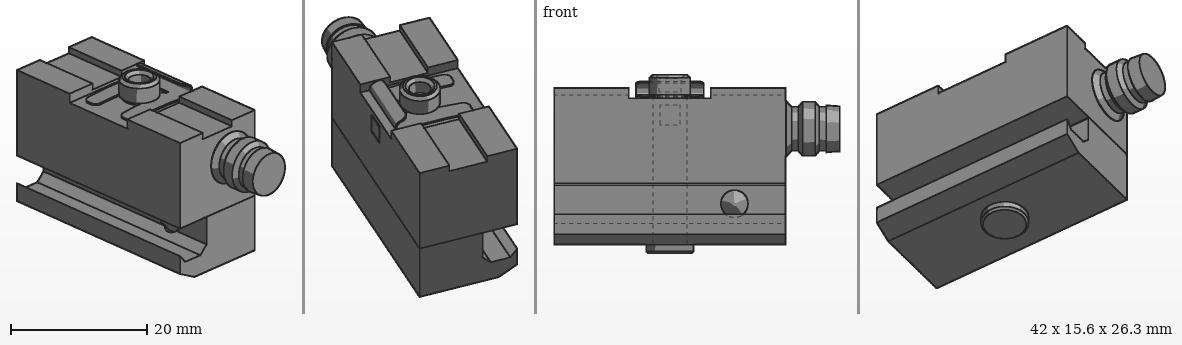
import cadquery as cq
import math

total_length = 42.0
length = 34.0
depth = 15.5
jaw_height = 9.0
housing_height = 14.03
housing_top = jaw_height + housing_height

slot_width = 12.0
slot_depth = 1.5
slot_floor = housing_top - slot_depth
groove_width = 6.0
groove_depth = 1.0
pad_size = 3.0
pad_thickness = 0.1
pad_z = 19.05

jaw_wall_y = 5.5
hook_floor_z = 3.15
hook_bevel = 1.3
lip_width = 1.1
lip_height = hook_floor_z + hook_bevel
nose_chamfer_y = 3.0
nose_chamfer_z = 1.5
wall_relief_y = 0.13
wall_relief_z = 0.25

screw_x = length / 2
screw_y = 8.5
shank_diameter = 5.0
head_diameter = 6.0
head_bottom = 22.05
head_top = 25.0
head_chamfer = 0.5
socket_diameter = 3.25
socket_mouth_diameter = 4.3
socket_depth = 2.5
foot_diameter = 7.0
foot_height = 1.3
foot_chamfer = 0.35

pin_x = 26.5
pin_z = 6.0
pin_diameter = 4.0
pin_recess = 0.1
pin_body_length = 4.0
cone_length = pin_diameter / 2

clip_width = 10.0
clip_thickness = 0.25
clip_front_y = 1.85
clip_head_gap = 0.05
clip_bow_top = head_bottom - clip_head_gap
curl_radius = 1.0
curl_inner_radius = curl_radius - clip_thickness
curl_center_y = 13.45
clip_bow_y = (clip_front_y + curl_center_y) / 2
curl_clearance = 0.05
curl_center_z = slot_floor + curl_clearance + curl_radius
curl_tip_angle = 21.0
curl_turn = 180.0 - curl_tip_angle
curl_tip_length = 1.43
curl_corner_radius = 1.0
arm_gap_front = 4.75
arm_gap_back = 4.3
arm_corner_radius = 0.95
window_back_y = 12.3
window_side_y = 11.85
window_width = 4.3
window_neck_y = 10.7
window_neck_width = 2.2

plug_y = 10.5
plug_z = 17.0
plug_length = total_length - length
plug_neck_radius = 6.5 / 2
plug_flange_radius = 8.2 / 2
plug_flange_length = 0.1
plug_neck_start = 0.9
plug_ring_radius = 8.0 / 2
plug_ring_start = 1.85
plug_ring_full = 2.5
plug_ring_fall = 4.33
plug_ring_end = 4.95
plug_tip_start = 6.0
plug_tip_radius = 6.97 / 2
plug_tip_end_radius = 6.68 / 2


def block(x, y, z, size_x, size_y, size_z):
    """Box given by its lowest corner and its sizes."""
    return cq.Workplane("XY").box(size_x, size_y, size_z, centered=False).translate((x, y, z))


def screw_cylinder(diameter, bottom, top):
    """Cylinder on the screw axis between two heights."""
    plane = cq.Workplane("XY", origin=(screw_x, screw_y, bottom))
    return plane.circle(diameter / 2).extrude(top - bottom)


def make_housing():
    housing = block(0, 0, jaw_height, length, depth, housing_height)
    slot = block(screw_x - slot_width / 2, 0, slot_floor, slot_width, depth, slot_depth)
    groove = block(
        0, (depth - groove_width) / 2, housing_top - groove_depth,
        length, groove_width, groove_depth,
    )
    pad = block(
        (length - pad_size) / 2, depth, pad_z - pad_size / 2,
        pad_size, pad_thickness, pad_size,
    )
    shank_hole = screw_cylinder(shank_diameter, jaw_height, housing_top)
    return housing.cut(slot).cut(groove).cut(shank_hole).union(pad)


def make_jaw():
    profile = [
        (nose_chamfer_y, 0),
        (depth, 0),
        (depth, jaw_height),
        (jaw_wall_y + wall_relief_y, jaw_height),
        (jaw_wall_y, jaw_height - wall_relief_z),
        (jaw_wall_y, lip_height),
        (jaw_wall_y - hook_bevel, hook_floor_z),
        (lip_width, hook_floor_z),
        (0, lip_height),
        (0, nose_chamfer_z),
    ]
    jaw = cq.Workplane("YZ").polyline(profile).close().extrude(length)
    shank_hole = screw_cylinder(shank_diameter, 0, jaw_height)
    pin_hole_start = jaw_wall_y - hook_bevel
    pin_hole_end = jaw_wall_y + pin_recess + pin_body_length
    pin_hole = (
        cq.Workplane("XZ", origin=(pin_x, pin_hole_end, pin_z))
        .circle(pin_diameter / 2)
        .extrude(pin_hole_end - pin_hole_start)
    )
    return jaw.cut(shank_hole).cut(pin_hole)


def make_screw():
    shank = screw_cylinder(shank_diameter, 0, head_bottom)
    head = screw_cylinder(head_diameter, head_bottom, head_top).faces(">Z").chamfer(head_chamfer)
    foot = screw_cylinder(foot_diameter, -foot_height, 0).faces("<Z").chamfer(foot_chamfer)
    socket_chamfer = (socket_mouth_diameter - socket_diameter) / 2
    socket = screw_cylinder(socket_diameter, head_top - socket_depth, head_top)
    screw = shank.union(head).union(foot).cut(socket)
    socket_rim = cq.selectors.RadiusNthSelector(0)
    return screw.faces(">Z").edges(socket_rim).chamfer(socket_chamfer)


def make_pin():
    base_y = jaw_wall_y + pin_recess
    outline = [
        (0, base_y - cone_length),
        (pin_diameter / 2, base_y),
        (pin_diameter / 2, base_y + pin_body_length),
        (0, base_y + pin_body_length),
    ]
    pin = cq.Workplane("XY").polyline(outline).close().revolve(360, (0, 0, 0), (0, 1, 0))
    return pin.translate((pin_x, 0, pin_z))


def curl_point(radius, angle):
    """Point (y, z) on the curl; the angle is counted from straight down, turning to the back."""
    a = math.radians(angle)
    return (curl_center_y + radius * math.sin(a), curl_center_z - radius * math.cos(a))


def curl_tip_point(radius):
    """Point (y, z) at the end of the straight tip that leaves the curl at this radius."""
    slope = math.radians(curl_tip_angle)
    start_y, start_z = curl_point(radius, curl_turn)
    return (start_y - curl_tip_length * math.cos(slope), start_z + curl_tip_length * math.sin(slope))


def make_clip_sheet():
    """Bent sheet: bowed base, curl at the back and a straight rising tip."""
    return (
        cq.Workplane("YZ", origin=(screw_x - clip_width / 2, 0, 0))
        .moveTo(clip_front_y, slot_floor)
        .threePointArc((clip_bow_y, clip_bow_top - clip_thickness), curl_point(curl_radius, 0))
        .threePointArc(curl_point(curl_radius, curl_turn / 2), curl_point(curl_radius, curl_turn))
        .lineTo(*curl_tip_point(curl_radius))
        .lineTo(*curl_tip_point(curl_inner_radius))
        .lineTo(*curl_point(curl_inner_radius, curl_turn))
        .threePointArc(curl_point(curl_inner_radius, curl_turn / 2), curl_point(curl_inner_radius, 0))
        .threePointArc((clip_bow_y, clip_bow_top), (clip_front_y, slot_floor + clip_thickness))
        .close()
        .extrude(clip_width)
    )


def make_clip_opening():
    """Fork gap, screw hole and rear window, as one set of cutters through the base of the clip."""
    cut_height = head_bottom - slot_floor
    base = cq.Workplane("XY", origin=(screw_x, 0, slot_floor))
    fork_gap = base.polyline([
        (-arm_gap_front / 2, clip_front_y),
        (arm_gap_front / 2, clip_front_y),
        (arm_gap_back / 2, screw_y),
        (-arm_gap_back / 2, screw_y),
    ]).close().extrude(cut_height)
    window = base.polyline([
        (-window_neck_width / 2, window_neck_y),
        (window_neck_width / 2, window_neck_y),
        (window_width / 2, window_side_y),
        (window_width / 2, window_back_y),
        (-window_width / 2, window_back_y),
        (-window_width / 2, window_side_y),
    ]).close().extrude(cut_height)
    screw_hole = screw_cylinder(shank_diameter, slot_floor, head_bottom)
    return fork_gap.union(window).union(screw_hole)


def edges_near(y, z):
    """Selector for the edges whose centres lie close to a point (y, z), over the whole length."""
    reach = 2 * clip_thickness
    return cq.selectors.BoxSelector((0, y - reach, z - reach), (length, y + reach, z + reach))


def make_clip():
    clip = make_clip_sheet().cut(make_clip_opening())
    slope = math.radians(curl_tip_angle)
    tip_normal = cq.Vector(0, math.sin(slope), math.cos(slope))
    across_tip = cq.selectors.ParallelDirSelector(tip_normal)
    arm_ends = edges_near(clip_front_y, slot_floor)
    curl_tip = edges_near(*curl_tip_point(curl_radius))
    clip = clip.edges("|Z").edges(arm_ends).fillet(arm_corner_radius)
    return clip.edges(across_tip).edges(curl_tip).fillet(curl_corner_radius)


def make_plug():
    outline = [
        (0, 0),
        (0, plug_flange_radius),
        (plug_flange_length, plug_flange_radius),
        (plug_neck_start, plug_neck_radius),
        (plug_ring_start, plug_neck_radius),
        (plug_ring_full, plug_ring_radius),
        (plug_ring_fall, plug_ring_radius),
        (plug_ring_end, plug_neck_radius),
        (plug_tip_start, plug_neck_radius),
        (plug_tip_start, plug_tip_radius),
        (plug_length, plug_tip_end_radius),
        (plug_length, 0),
    ]
    plug = cq.Workplane("XY").polyline(outline).close().revolve(360, (0, 0, 0), (1, 0, 0))
    return plug.translate((length, plug_y, plug_z))


housing = make_housing()
jaw = make_jaw()
screw = make_screw()
pin = make_pin()
clip = make_clip()
plug = make_plug()

result = cq.Compound.makeCompound([
    housing.val(),
    jaw.val(),
    screw.val(),
    pin.val(),
    clip.val(),
    plug.val(),
])